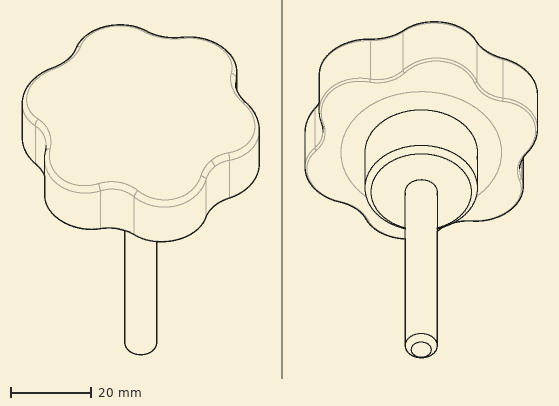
import cadquery as cq
import math

TOTAL_HEIGHT = 95.0
HEAD_HEIGHT = 20.0
HUB_HEIGHT = 15.0
HEAD_BOTTOM = TOTAL_HEIGHT - HEAD_HEIGHT
HUB_BOTTOM = HEAD_BOTTOM - HUB_HEIGHT

LOBE_COUNT = 6
HEAD_RADIUS = 30.0
LOBE_RADIUS = 11.0
LOBE_CENTER_RADIUS = HEAD_RADIUS - LOBE_RADIUS
VALLEY_RADIUS = 9.0
DOME_DROP = 4.0
UNDERSIDE_FLAT_RADIUS = 20.0
UNDERSIDE_CURVE_RADIUS = 45.0
BLANK_RADIUS = HEAD_RADIUS + 1.0
RIM_INNER_LIMIT = 24.0
TOP_FILLET = 1.5
BOTTOM_FILLET = 0.6

HUB_DIAMETER = 28.0
HUB_CHAMFER = 1.5
PIN_DIAMETER = 8.0
PIN_CHAMFER = 1.5
PIN_OVERLAP = 5.0


def polar(radius, angle):
    """Point at a radius and an angle in radians."""
    return (radius * math.cos(angle), radius * math.sin(angle))


def lobed_outline():
    """Closed outline of convex lobes joined by tangent concave valleys, first lobe on +Y."""
    half_pitch = math.pi / LOBE_COUNT
    center_distance = LOBE_RADIUS + VALLEY_RADIUS
    half_lobe_gap = LOBE_CENTER_RADIUS * math.sin(half_pitch)
    tilt = math.asin(half_lobe_gap / center_distance)
    valley_center_radius = LOBE_CENTER_RADIUS * math.cos(half_pitch) + center_distance * math.cos(tilt)
    valley_bottom_radius = valley_center_radius - VALLEY_RADIUS

    along = valley_center_radius - VALLEY_RADIUS * math.cos(tilt)
    across = VALLEY_RADIUS * math.sin(tilt)
    tangent_radius = math.hypot(along, across)
    tangent_angle = math.atan2(across, along)

    first_lobe = math.pi / 2
    start = first_lobe - half_pitch + tangent_angle
    outline = cq.Workplane("XY").workplane(offset=HEAD_BOTTOM).moveTo(*polar(tangent_radius, start))
    for index in range(LOBE_COUNT):
        lobe = first_lobe + 2 * half_pitch * index
        valley = lobe + half_pitch
        lobe_end = polar(tangent_radius, valley - tangent_angle)
        valley_end = polar(tangent_radius, valley + tangent_angle)
        outline = outline.threePointArc(polar(HEAD_RADIUS, lobe), lobe_end)
        outline = outline.threePointArc(polar(valley_bottom_radius, valley), valley_end)
    return outline.close()


def make_dome():
    """Sphere whose crown is the domed top of the head."""
    dome_radius = (HEAD_RADIUS**2 + DOME_DROP**2) / (2 * DOME_DROP)
    return cq.Workplane("XY").sphere(dome_radius).translate((0, 0, TOTAL_HEIGHT - dome_radius))


def make_underside_blank():
    """Turned blank with a flat underside that curves up tangentially toward its rim."""
    flat_to_rim = BLANK_RADIUS - UNDERSIDE_FLAT_RADIUS
    sweep = math.asin(flat_to_rim / UNDERSIDE_CURVE_RADIUS)
    rim_bottom = HEAD_BOTTOM + UNDERSIDE_CURVE_RADIUS * (1 - math.cos(sweep))
    return (
        cq.Workplane("XZ")
        .moveTo(0, HEAD_BOTTOM)
        .lineTo(UNDERSIDE_FLAT_RADIUS, HEAD_BOTTOM)
        .tangentArcPoint((BLANK_RADIUS, rim_bottom), relative=False)
        .lineTo(BLANK_RADIUS, TOTAL_HEIGHT)
        .lineTo(0, TOTAL_HEIGHT)
        .close()
        .revolve(360, (0, 0), (0, 1))
    )


def is_rim(edge):
    """True for edges that run around the lobed outline, not for seams nearer the axis."""
    center = edge.Center()
    return math.hypot(center.x, center.y) > RIM_INNER_LIMIT


def make_head():
    """Lobed grip with a domed top, a curved underside and rounded rims."""
    head = lobed_outline().extrude(HEAD_HEIGHT)
    head = head.intersect(make_underside_blank())
    head = head.intersect(make_dome())
    top_rim = head.faces(">Z").edges().filter(is_rim)
    head = top_rim.fillet(TOP_FILLET)
    bottom_rim = head.faces("%REVOLUTION").edges().filter(is_rim)
    return bottom_rim.fillet(BOTTOM_FILLET)


def make_hub():
    """Round hub below the head, chamfered at its lower rim."""
    hub = cq.Workplane("XY").workplane(offset=HUB_BOTTOM).circle(HUB_DIAMETER / 2).extrude(HUB_HEIGHT)
    return hub.faces("<Z").chamfer(HUB_CHAMFER)


def make_pin():
    """Straight pin with a chamfered tip."""
    pin = cq.Workplane("XY").circle(PIN_DIAMETER / 2).extrude(HUB_BOTTOM + PIN_OVERLAP)
    return pin.faces("<Z").chamfer(PIN_CHAMFER)


result = make_head().union(make_hub()).union(make_pin())